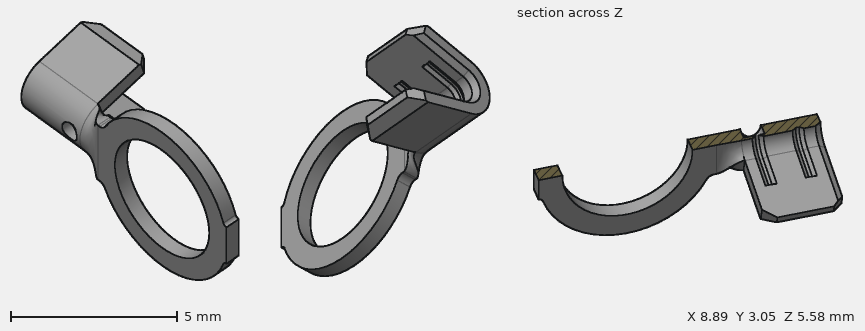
import cadquery as cq
import math

total_length = 8.89
total_depth = 3.05
ring_diameter = 5.58

plate_thickness = 0.52
bore_diameter = 4.08
neck_width = 2.28
neck_start = 3.31
neck_fillet = 0.27
tab_width = 1.53
tab_fillet = 0.14

transition_steps = 4

crimp_length = 2.53
wall = 0.53
bend_radius = 1.02
wing_angle = 15.0
tip_corner_cut = 0.37
tip_bevel_length = 0.445
tip_bevel_depth = 0.27

entry_length = 0.205
entry_depth = 0.15

groove_positions = (0.75, 2.01)
groove_width = 0.36
groove_floor_width = 0.11
groove_depth = 0.1
groove_reach = 1.03

recess_x = 2.09
recess_diameter = 0.64
recess_depth = 0.41

ring_radius = ring_diameter / 2
ring_center_x = total_length - ring_radius
inner_radius = bend_radius - wall
slope_sin = math.sin(math.radians(wing_angle))
slope_cos = math.cos(math.radians(wing_angle))
wing_length = (total_depth - bend_radius + inner_radius * slope_sin) / slope_cos


def wing_point(radius, distance):
    """(y, z) on the upper wing at a radius from the bend axis, past the end of the bend."""
    y = bend_radius - radius * slope_sin + distance * slope_cos
    z = radius * slope_cos + distance * slope_sin
    return y, z


def mirrored(point):
    """The matching (y, z) on the lower wing."""
    return point[0], -point[1]


def bend_bottom(radius):
    """(y, z) of the lowest point of the bend, on the side facing -Y."""
    return bend_radius - radius, 0


def section_plane(x):
    """Workplane across the part, with local axes along Y and Z."""
    return cq.Workplane("YZ", origin=(x, 0, 0))


def plate_disc(diameter):
    """Round plate centered on the ring."""
    return (
        cq.Workplane("XZ")
        .center(ring_center_x, 0)
        .circle(diameter / 2)
        .extrude(-plate_thickness)
    )


def plate_strip(end_x, width):
    """Straight plate from the ring center to end_x."""
    return (
        cq.Workplane("XZ")
        .center((end_x + ring_center_x) / 2, 0)
        .rect(abs(end_x - ring_center_x), width)
        .extrude(-plate_thickness)
    )


def fillet_strip_corners(body, width, side, radius):
    """Round the two inner corners where a strip leaves the ring; side is -1 or 1 along X."""
    x = ring_center_x + side * math.sqrt(ring_radius**2 - (width / 2) ** 2)
    corners = [
        body.edges(cq.selectors.NearestToPointSelector((x, plate_thickness / 2, z)))
        for z in (-width / 2, width / 2)
    ]
    return corners[0].add(corners[1]).fillet(radius)


def make_ring():
    """Flat ring with the neck on one side and the squared tab on the other."""
    ring = plate_disc(ring_diameter)
    ring = ring.union(plate_strip(neck_start, neck_width))
    ring = ring.union(plate_strip(total_length, tab_width))
    ring = fillet_strip_corners(ring, neck_width, -1, neck_fillet)
    ring = fillet_strip_corners(ring, tab_width, 1, tab_fillet)
    return ring.cut(plate_disc(bore_diameter))


def make_wing():
    """Upper wing, beveled on its outer tip edge and cut off at both tip corners."""
    side = (
        cq.Workplane("YZ")
        .polyline([
            (0, inner_radius),
            (wing_length, inner_radius),
            (wing_length, bend_radius - tip_bevel_depth),
            (wing_length - tip_bevel_length, bend_radius),
            (0, bend_radius),
        ])
        .close()
        .extrude(crimp_length)
    )
    face = (
        cq.Workplane("XY")
        .rect(crimp_length, wing_length, centered=False)
        .extrude(bend_radius)
        .edges("|Z and >Y")
        .chamfer(tip_corner_cut)
    )
    wing = side.intersect(face)
    return wing.rotate((0, 0, 0), (1, 0, 0), wing_angle).translate((0, bend_radius, 0))


def transition_section(fraction):
    """Outline between the bend (fraction 0) and the flat neck (fraction 1)."""
    blend = fraction**2 * (3 - 2 * fraction)

    def mix(bend_point, neck_point):
        return tuple(a + (b - a) * blend for a, b in zip(bend_point, neck_point))

    outer_end = mix(wing_point(bend_radius, 0), (0, neck_width / 2))
    inner_end = mix(wing_point(inner_radius, 0), (plate_thickness, neck_width / 2))
    inner_bottom = mix(bend_bottom(inner_radius), (plate_thickness, 0))
    outline = section_plane(crimp_length + fraction * (neck_start - crimp_length))
    outline = outline.moveTo(*mirrored(outer_end))
    if fraction < 1:
        outline = (
            outline.threePointArc(bend_bottom(bend_radius), outer_end)
            .lineTo(*inner_end)
            .threePointArc(inner_bottom, mirrored(inner_end))
        )
    else:
        outline = outline.lineTo(*outer_end).lineTo(*inner_end).lineTo(*mirrored(inner_end))
    return outline.close()


def channel_wire(x, radius):
    """Outline of the V-shaped space between the wings, run out past the tips."""
    start = wing_point(radius, 0)
    end = wing_point(radius, wing_length + wall)
    outline = (
        section_plane(x)
        .moveTo(*mirrored(end))
        .lineTo(*mirrored(start))
        .threePointArc(bend_bottom(radius), start)
        .lineTo(*end)
        .close()
    )
    return outline.val()


def make_entry():
    """Funnel that bevels the inner edge of the crimp at the wire entry."""
    wires = [
        channel_wire(0, inner_radius + entry_depth),
        channel_wire(entry_length, inner_radius),
    ]
    return cq.Workplane(cq.Solid.makeLoft(wires, True))


def make_groove(x):
    """Trapezoidal groove running round the inner face from wing to wing."""
    start = wing_point(inner_radius, 0)
    end = wing_point(inner_radius, groove_reach)
    path = (
        section_plane(x)
        .moveTo(*end)
        .lineTo(*start)
        .threePointArc(bend_bottom(inner_radius), mirrored(start))
        .lineTo(*mirrored(end))
    )
    profile_plane = cq.Plane(
        origin=(x, *end),
        xDir=(1, 0, 0),
        normal=(0, -slope_cos, -slope_sin),
    )
    return (
        cq.Workplane(profile_plane)
        .polyline([
            (-groove_width / 2, 0),
            (-groove_floor_width / 2, groove_depth),
            (groove_floor_width / 2, groove_depth),
            (groove_width / 2, 0),
        ])
        .close()
        .sweep(path)
    )


def make_crimp():
    """Bend and wings, with the entry funnel, grooves and recess cut in."""
    wing = make_wing()
    crimp = transition_section(0).extrude(-crimp_length).union(wing).union(wing.mirror("XY"))
    crimp = crimp.cut(make_entry())
    for x in groove_positions:
        crimp = crimp.cut(make_groove(x))
    recess = (
        cq.Workplane("XZ")
        .center(recess_x, 0)
        .circle(recess_diameter / 2)
        .extrude(-recess_depth)
    )
    return crimp.cut(recess)


def make_transition():
    """Smooth blend from the curved bend to the flat neck."""
    wires = [
        transition_section(step / transition_steps).val()
        for step in range(transition_steps + 1)
    ]
    return cq.Workplane(cq.Solid.makeLoft(wires))


terminal = make_crimp().union(make_transition()).union(make_ring())
result = cq.Workplane(terminal.solids().val())